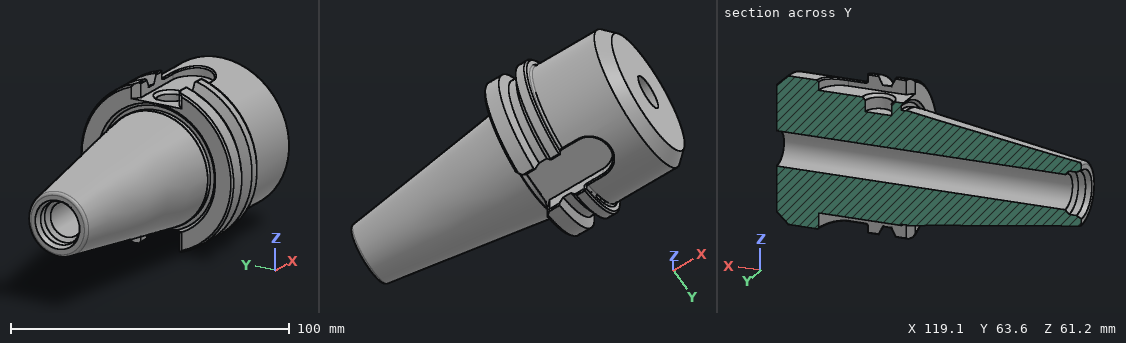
import cadquery as cq
import math

total_length = 119.1
taper_end_x = 68.2
flange_face_x = 69.4
flange_back_x = 87.3
groove_start_x = 75.8
groove_end_x = 83.0
nose_chamfer_x = 114.4

gauge_radius = 22.1
taper_ratio = 7 / 24
taper_end_fillet = 1.2
relief_radius = 43.9 / 2
flange_radius = 31.8
nose_radius = 57.1 / 2
nose_end_radius = 24.3

flange_chamfer = 0.7
groove_floor_radius = 28.2
groove_flank = 1.9
neck_fillet = 0.7
recess_outer_radius = 24.6
recess_inner_radius = 23.6
recess_depth = 1.0

bore_radius = 13.3 / 2
mouth_radius = 18.5 / 2
counterbore_radius = 16.4 / 2
mouth_depth = 2.0
counterbore_end_x = 4.9
bore_start_x = 6.4

slot_width = 16.1
slot_end_x = 102.5
upper_slot_floor = 24.8
lower_slot_floor = 22.4
slot_mouth_flare = 2.5
slot_edge_chamfer = 0.6
match_tolerance = 0.01

pocket_x = 79.3
pocket_radius = 10.1 / 2
pocket_mouth_radius = 12.4 / 2
pocket_countersink_depth = 1.2
pocket_depth = 5.5


def make_outer_body():
    """Taper, grooved flange and nose, turned about the X axis."""
    small_end_radius = gauge_radius - taper_end_x * taper_ratio / 2
    rim_radius = flange_radius - flange_chamfer
    profile = (
        cq.Workplane("XY")
        .moveTo(0, 0)
        .lineTo(0, small_end_radius)
        .lineTo(taper_end_x, gauge_radius)
        .lineTo(taper_end_x + gauge_radius - relief_radius, relief_radius)
        .lineTo(flange_face_x + recess_depth, relief_radius)
        .lineTo(flange_face_x + recess_depth, recess_inner_radius)
        .lineTo(flange_face_x, recess_outer_radius)
        .lineTo(flange_face_x, rim_radius)
        .lineTo(flange_face_x + flange_chamfer, flange_radius)
        .lineTo(groove_start_x, flange_radius)
        .lineTo(groove_start_x + groove_flank, groove_floor_radius)
        .lineTo(groove_end_x - groove_flank, groove_floor_radius)
        .lineTo(groove_end_x, flange_radius)
        .lineTo(flange_back_x - flange_chamfer, flange_radius)
        .lineTo(flange_back_x, rim_radius)
        .lineTo(flange_back_x, nose_radius + neck_fillet)
        .radiusArc((flange_back_x + neck_fillet, nose_radius), -neck_fillet)
        .lineTo(nose_chamfer_x, nose_radius)
        .lineTo(total_length, nose_end_radius)
        .lineTo(total_length, 0)
        .close()
    )
    body = profile.revolve(360, (0, 0, 0), (1, 0, 0))
    return body.faces("<X").edges().fillet(taper_end_fillet)


def make_bore():
    """Through bore with a countersunk counterbore at the small end."""
    return (
        cq.Workplane("XY")
        .moveTo(0, 0)
        .lineTo(0, mouth_radius)
        .lineTo(mouth_depth, counterbore_radius)
        .lineTo(counterbore_end_x, counterbore_radius)
        .lineTo(bore_start_x, bore_radius)
        .lineTo(total_length, bore_radius)
        .lineTo(total_length, 0)
        .close()
        .revolve(360, (0, 0, 0), (1, 0, 0))
    )


def make_slot(floor_height, side):
    """Round-ended drive slot with a flared mouth; side is +1 above, -1 below."""
    half_width = slot_width / 2
    mouth_half_width = half_width + slot_mouth_flare
    arc_start_x = slot_end_x - half_width
    return (
        cq.Workplane("XY")
        .workplane(offset=side * floor_height)
        .moveTo(flange_face_x, -mouth_half_width)
        .lineTo(flange_face_x + slot_mouth_flare, -half_width)
        .lineTo(arc_start_x, -half_width)
        .threePointArc((slot_end_x, 0), (arc_start_x, half_width))
        .lineTo(flange_face_x + slot_mouth_flare, half_width)
        .lineTo(flange_face_x, mouth_half_width)
        .close()
        .extrude(side * (flange_radius - floor_height))
    )


def is_straight_rim(edge, radius):
    """True for the edges where a straight slot wall meets a cylinder of this radius."""
    half_width = slot_width / 2
    rim_height = math.sqrt(radius ** 2 - half_width ** 2)
    center = edge.Center()
    on_wall = math.isclose(abs(center.y), half_width, abs_tol=match_tolerance)
    on_rim = math.isclose(abs(center.z), rim_height, abs_tol=match_tolerance)
    return edge.geomType() == "LINE" and on_wall and on_rim


def is_round_rim(edge):
    """True for the curved edge where the round slot end meets the nose."""
    center = edge.Center()
    at_slot_end = slot_end_x - slot_width / 2 < center.x < slot_end_x
    return edge.geomType() == "BSPLINE" and at_slot_end


def chamfer_slot_rims(body):
    """Break the outer edges of both slots, first on the nose and then on the flange."""
    nose_rims = [
        edge for edge in body.edges().vals()
        if is_straight_rim(edge, nose_radius) or is_round_rim(edge)
    ]
    body = body.newObject(nose_rims).chamfer(slot_edge_chamfer)
    flange_rims = [edge for edge in body.edges().vals() if is_straight_rim(edge, flange_radius)]
    return body.newObject(flange_rims).chamfer(slot_edge_chamfer)


def make_pocket():
    """Countersunk blind hole sunk from the floor of the upper slot."""
    return (
        cq.Workplane("XZ")
        .moveTo(0, 0)
        .lineTo(pocket_mouth_radius, 0)
        .lineTo(pocket_radius, -pocket_countersink_depth)
        .lineTo(pocket_radius, -pocket_depth)
        .lineTo(0, -pocket_depth)
        .close()
        .revolve(360, (0, 0, 0), (0, 1, 0))
        .translate((pocket_x, 0, upper_slot_floor))
    )


holder = make_outer_body().cut(make_bore())
holder = holder.cut(make_slot(upper_slot_floor, 1)).cut(make_slot(lower_slot_floor, -1))
holder = chamfer_slot_rims(holder).cut(make_pocket())

result = cq.Compound.makeCompound([holder.val()])